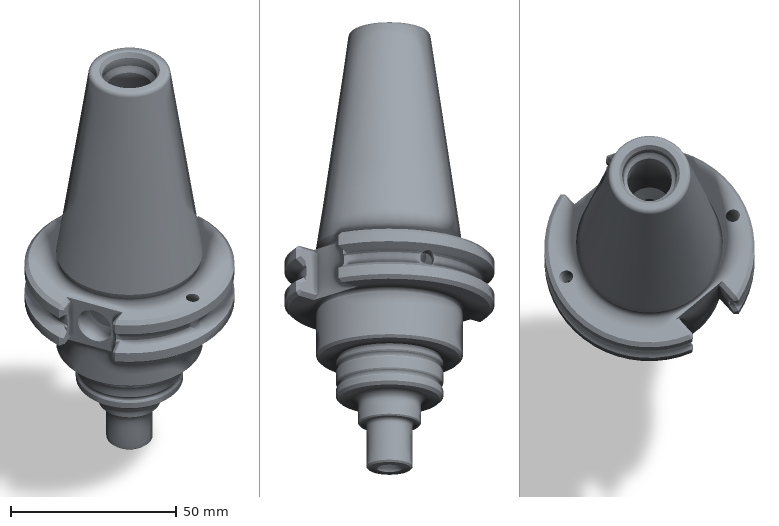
import cadquery as cq
import math

TOTAL_LENGTH = 137.8

GAUGE_DIAMETER = 44.4
GAUGE_Z = 69.8
TAPER_RATIO = 7 / 24
SHANK_END_ROUND = 1.4
RELIEF_RADIUS = 21.5
RELIEF_Z = 67.5

FLANGE_DIAMETER = 63.5
FLANGE_CENTRE_Z = 58.5
FLANGE_THICKNESS = 15.9
FLANGE_CHAMFER_RADIAL = 1.2
FLANGE_CHAMFER_AXIAL = 1.1
GROOVE_FLOOR_DIAMETER = 56.2
GROOVE_MOUTH_WIDTH = 7.2
GROOVE_FLANK_ANGLE = 30.0
GROOVE_ROOT_BEVEL = 0.4

COLLAR_RADIUS = GAUGE_DIAMETER / 2
COLLAR_BOTTOM_Z = 34.7
COLLAR_CHAMFER = 0.8
NECK_RADIUS = 21.8
NECK_FILLET = 0.8

SPIGOT_RADIUS = 16.3
SPIGOT_BOTTOM_Z = 21.8
SPIGOT_CHAMFER = 1.0
RING_GROOVE_WIDTH = 2.2
RING_GROOVE_DEPTH = 0.7
RING_GROOVE_LIP_WIDTH = 0.4
RING_GROOVE_LIP_DEPTH = 0.3
RING_GROOVE_CENTRES = (31.5, 25.8)
UNDERCUT_HEIGHT = 1.2
UNDERCUT_DEPTH = 0.5

STEP_RADIUS = 9.5
STEP_FILLET = 2.0
STEP_CHAMFER = 0.4
STEP_BOTTOM_Z = 13.9
PIN_RADIUS = 7.0
PIN_FILLET = 0.8
PIN_CHAMFER = 0.5

MOUTH_DIAMETER = 18.3
COUNTERBORE_DIAMETER = 16.5
COUNTERBORE_DEPTH = 4.4
MOUTH_CHAMFER_DEPTH = 1.5
THREAD_DIAMETER = 13.5
THREAD_DEPTH = 34.5
THROUGH_DIAMETER = 7.5
DRILL_POINT_ANGLE = 118.0

SLOT_WIDTH = 16.3
SLOT_CHAMFER = 1.2
SLOT_CORNER_FILLET = 0.5
FRONT_SLOT_FLOOR = 25.0
REAR_SLOT_FLOOR = 22.7
SLOT_HOLE_DIAMETER = 11.2
SLOT_HOLE_DEPTH = 8.3

COOLANT_DIAMETER = 3.9
OUTLET_DIAMETER = 4.5
OUTLET_DEPTH = 1.7
COOLANT_ENTRY_RADIUS = 27.0
COOLANT_TILT = 25.0
COOLANT_ANGLES = (160.0, 340.0)

TOLERANCE = 0.001

FLANGE_RADIUS = FLANGE_DIAMETER / 2
FLANGE_TOP_Z = FLANGE_CENTRE_Z + FLANGE_THICKNESS / 2
FLANGE_BOTTOM_Z = FLANGE_CENTRE_Z - FLANGE_THICKNESS / 2

GROOVE_FLOOR_RADIUS = GROOVE_FLOOR_DIAMETER / 2
GROOVE_ROOT_RADIUS = GROOVE_FLOOR_RADIUS + GROOVE_ROOT_BEVEL
FLANK_HEIGHT = (FLANGE_RADIUS - GROOVE_ROOT_RADIUS) * math.tan(math.radians(GROOVE_FLANK_ANGLE))
GROOVE_ROOT_HALF = GROOVE_MOUTH_WIDTH / 2 - FLANK_HEIGHT


def drill_point_height(diameter):
    return diameter / 2 / math.tan(math.radians(DRILL_POINT_ANGLE / 2))


def turned_body():
    shank_end_radius = COLLAR_RADIUS - (TOTAL_LENGTH - GAUGE_Z) * TAPER_RATIO / 2
    flange_face_radius = FLANGE_RADIUS - FLANGE_CHAMFER_RADIAL
    relief_fillet = RELIEF_Z - FLANGE_TOP_Z
    neck_z = FLANGE_BOTTOM_Z - NECK_FILLET
    diagonal = 1 - math.sqrt(0.5)
    undercut_arc_radius = (UNDERCUT_DEPTH**2 + UNDERCUT_HEIGHT**2) / (2 * UNDERCUT_DEPTH)
    half_sweep = math.asin(UNDERCUT_HEIGHT / undercut_arc_radius) / 2
    undercut_arc_middle = (
        SPIGOT_RADIUS - UNDERCUT_DEPTH + undercut_arc_radius * (1 - math.cos(half_sweep)),
        COLLAR_BOTTOM_Z - undercut_arc_radius * math.sin(half_sweep),
    )

    outline = (
        cq.Workplane("XZ")
        .moveTo(0, TOTAL_LENGTH)
        .lineTo(shank_end_radius, TOTAL_LENGTH)
        .lineTo(COLLAR_RADIUS, GAUGE_Z)
        .lineTo(RELIEF_RADIUS, RELIEF_Z)
        .threePointArc(
            (RELIEF_RADIUS + relief_fillet * diagonal, FLANGE_TOP_Z + relief_fillet * diagonal),
            (RELIEF_RADIUS + relief_fillet, FLANGE_TOP_Z),
        )
        .lineTo(flange_face_radius, FLANGE_TOP_Z)
        .lineTo(FLANGE_RADIUS, FLANGE_TOP_Z - FLANGE_CHAMFER_AXIAL)
        .lineTo(FLANGE_RADIUS, FLANGE_CENTRE_Z + GROOVE_MOUTH_WIDTH / 2)
        .lineTo(GROOVE_ROOT_RADIUS, FLANGE_CENTRE_Z + GROOVE_ROOT_HALF)
        .lineTo(GROOVE_ROOT_RADIUS, FLANGE_CENTRE_Z - GROOVE_ROOT_HALF)
        .lineTo(FLANGE_RADIUS, FLANGE_CENTRE_Z - GROOVE_MOUTH_WIDTH / 2)
        .lineTo(FLANGE_RADIUS, FLANGE_BOTTOM_Z + FLANGE_CHAMFER_AXIAL)
        .lineTo(flange_face_radius, FLANGE_BOTTOM_Z)
        .lineTo(NECK_RADIUS + NECK_FILLET, FLANGE_BOTTOM_Z)
        .threePointArc(
            (NECK_RADIUS + NECK_FILLET * diagonal, FLANGE_BOTTOM_Z - NECK_FILLET * diagonal),
            (NECK_RADIUS, neck_z),
        )
        .lineTo(COLLAR_RADIUS, neck_z - COLLAR_CHAMFER)
        .lineTo(COLLAR_RADIUS, COLLAR_BOTTOM_Z + COLLAR_CHAMFER)
        .lineTo(COLLAR_RADIUS - COLLAR_CHAMFER, COLLAR_BOTTOM_Z)
        .lineTo(SPIGOT_RADIUS - UNDERCUT_DEPTH, COLLAR_BOTTOM_Z)
        .threePointArc(
            undercut_arc_middle,
            (SPIGOT_RADIUS, COLLAR_BOTTOM_Z - UNDERCUT_HEIGHT),
        )
    )
    lip_bottom_radius = SPIGOT_RADIUS - RING_GROOVE_LIP_DEPTH
    ring_groove_half = RING_GROOVE_WIDTH / 2
    ring_arc_half = ring_groove_half - RING_GROOVE_LIP_WIDTH
    for centre_z in RING_GROOVE_CENTRES:
        outline = (
            outline.lineTo(SPIGOT_RADIUS, centre_z + ring_groove_half)
            .lineTo(lip_bottom_radius, centre_z + ring_arc_half)
            .threePointArc(
                (SPIGOT_RADIUS - RING_GROOVE_DEPTH, centre_z),
                (lip_bottom_radius, centre_z - ring_arc_half),
            )
            .lineTo(SPIGOT_RADIUS, centre_z - ring_groove_half)
        )
    outline = (
        outline.lineTo(SPIGOT_RADIUS, SPIGOT_BOTTOM_Z + SPIGOT_CHAMFER)
        .lineTo(SPIGOT_RADIUS - SPIGOT_CHAMFER, SPIGOT_BOTTOM_Z)
        .lineTo(STEP_RADIUS + STEP_FILLET, SPIGOT_BOTTOM_Z)
        .threePointArc(
            (STEP_RADIUS + STEP_FILLET * diagonal, SPIGOT_BOTTOM_Z - STEP_FILLET * diagonal),
            (STEP_RADIUS, SPIGOT_BOTTOM_Z - STEP_FILLET),
        )
        .lineTo(STEP_RADIUS, STEP_BOTTOM_Z + STEP_CHAMFER)
        .lineTo(STEP_RADIUS - STEP_CHAMFER, STEP_BOTTOM_Z)
        .lineTo(PIN_RADIUS + PIN_FILLET, STEP_BOTTOM_Z)
        .threePointArc(
            (PIN_RADIUS + PIN_FILLET * diagonal, STEP_BOTTOM_Z - PIN_FILLET * diagonal),
            (PIN_RADIUS, STEP_BOTTOM_Z - PIN_FILLET),
        )
        .lineTo(PIN_RADIUS, PIN_CHAMFER)
        .lineTo(PIN_RADIUS - PIN_CHAMFER, 0)
        .lineTo(0, 0)
        .close()
    )
    body = outline.revolve(360, (0, 0, 0), (0, 1, 0))
    return body.faces(">Z").edges().fillet(SHANK_END_ROUND)


def axial_bore():
    counterbore_radius = COUNTERBORE_DIAMETER / 2
    thread_radius = THREAD_DIAMETER / 2
    through_radius = THROUGH_DIAMETER / 2
    shoulder_z = TOTAL_LENGTH - COUNTERBORE_DEPTH
    thread_end_z = TOTAL_LENGTH - THREAD_DEPTH
    point_height = drill_point_height(THREAD_DIAMETER) - drill_point_height(THROUGH_DIAMETER)
    return (
        cq.Workplane("XZ")
        .moveTo(0, TOTAL_LENGTH)
        .lineTo(MOUTH_DIAMETER / 2, TOTAL_LENGTH)
        .lineTo(counterbore_radius, TOTAL_LENGTH - MOUTH_CHAMFER_DEPTH)
        .lineTo(counterbore_radius, shoulder_z)
        .lineTo(thread_radius, shoulder_z - (counterbore_radius - thread_radius))
        .lineTo(thread_radius, thread_end_z)
        .lineTo(through_radius, thread_end_z - point_height)
        .lineTo(through_radius, 0)
        .lineTo(0, 0)
        .close()
        .revolve(360, (0, 0, 0), (0, 1, 0))
    )


def driving_slot(floor_distance):
    """Slot through the +Y rim with a flat floor."""
    return (
        cq.Workplane("XY", origin=(0, FLANGE_RADIUS, FLANGE_BOTTOM_Z))
        .rect(SLOT_WIDTH, 2 * (FLANGE_RADIUS - floor_distance))
        .extrude(FLANGE_THICKNESS)
    )


def chamfer_slot_walls(body):
    """Chamfer the slot walls where they meet the flange faces, rim and V-groove flanks."""

    def is_outer_wall_edge(edge):
        box = edge.BoundingBox()
        in_wall = box.xlen < TOLERANCE and abs(abs(box.center.x) - SLOT_WIDTH / 2) < TOLERANCE
        reach = math.hypot(box.center.x, max(abs(box.ymin), abs(box.ymax)))
        return in_wall and reach > GROOVE_ROOT_RADIUS + TOLERANCE

    return body.edges().filter(is_outer_wall_edge).chamfer(SLOT_CHAMFER)


def fillet_slot_corners(body):
    """Round the upright corners between the slot walls and the slot floors."""

    def is_floor_corner(edge):
        centre = edge.Center()
        on_wall = abs(abs(centre.x) - SLOT_WIDTH / 2) < TOLERANCE
        return on_wall and abs(centre.y) < FRONT_SLOT_FLOOR + TOLERANCE

    return body.edges("|Z").filter(is_floor_corner).fillet(SLOT_CORNER_FILLET)


def groove_floor_cut():
    """Ring that deepens the V-groove to its floor with bevelled corners."""
    floor_half = GROOVE_ROOT_HALF - GROOVE_ROOT_BEVEL
    return (
        cq.Workplane("XZ", origin=(0, 0, FLANGE_CENTRE_Z))
        .moveTo(GROOVE_ROOT_RADIUS, GROOVE_ROOT_HALF)
        .lineTo(GROOVE_FLOOR_RADIUS, floor_half)
        .lineTo(GROOVE_FLOOR_RADIUS, -floor_half)
        .lineTo(GROOVE_ROOT_RADIUS, -GROOVE_ROOT_HALF)
        .close()
        .revolve(360, (0, 0, 0), (0, 1, 0))
    )


def slot_floor_hole():
    radius = SLOT_HOLE_DIAMETER / 2
    bottom_y = SLOT_HOLE_DEPTH - FRONT_SLOT_FLOOR
    return (
        cq.Workplane("XY", origin=(0, 0, FLANGE_CENTRE_Z))
        .moveTo(0, -FRONT_SLOT_FLOOR)
        .lineTo(radius, -FRONT_SLOT_FLOOR)
        .lineTo(radius, bottom_y)
        .lineTo(0, bottom_y + drill_point_height(SLOT_HOLE_DIAMETER))
        .close()
        .revolve(360, (0, 0, 0), (0, 1, 0))
    )


def coolant_passage(angle):
    """Tilted hole from the flange top meeting a short radial hole in the V-groove floor."""
    radius = COOLANT_DIAMETER / 2
    tilt = math.radians(COOLANT_TILT)
    drop = FLANGE_TOP_Z - FLANGE_CENTRE_Z
    junction = cq.Vector(COOLANT_ENTRY_RADIUS - drop * math.tan(tilt), 0, FLANGE_CENTRE_Z)
    upward = cq.Vector(math.sin(tilt), 0, math.cos(tilt))
    tilted_length = drop / math.cos(tilt) + COOLANT_DIAMETER
    tilted = cq.Solid.makeCylinder(radius, tilted_length, junction, upward)
    outlet_radius = OUTLET_DIAMETER / 2
    outlet_bottom = GROOVE_FLOOR_RADIUS - OUTLET_DEPTH
    outlet = (
        cq.Workplane("XY", origin=(0, 0, FLANGE_CENTRE_Z))
        .moveTo(outlet_bottom - drill_point_height(OUTLET_DIAMETER), 0)
        .lineTo(outlet_bottom, outlet_radius)
        .lineTo(FLANGE_RADIUS, outlet_radius)
        .lineTo(FLANGE_RADIUS, 0)
        .close()
        .revolve(360, (0, 0, 0), (1, 0, 0))
    )
    passage = outlet.union(cq.Workplane(obj=tilted))
    return passage.rotate((0, 0, 0), (0, 0, 1), angle)


result = turned_body()
result = result.cut(driving_slot(FRONT_SLOT_FLOOR).mirror("XZ"))
result = result.cut(driving_slot(REAR_SLOT_FLOOR))
result = chamfer_slot_walls(result)
result = fillet_slot_corners(result)
result = result.cut(groove_floor_cut())
result = result.cut(axial_bore())
result = result.cut(slot_floor_hole())
for passage_angle in COOLANT_ANGLES:
    result = result.cut(coolant_passage(passage_angle))